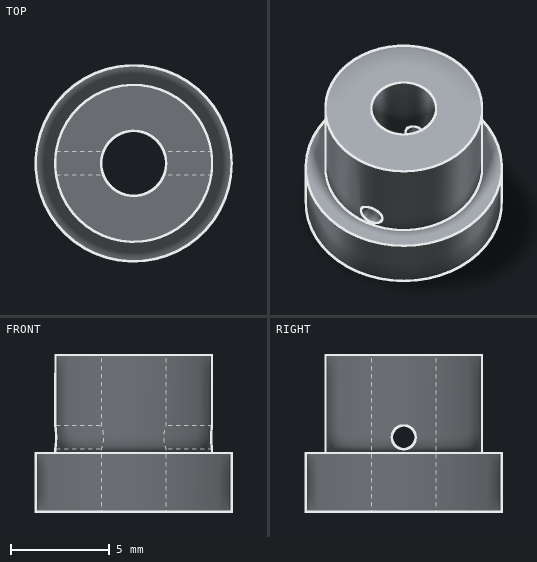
import cadquery as cq

flange_diameter = 10
flange_height = 3
hub_diameter = 8
hub_height = 5
bore_diameter = 3.3
pin_hole_diameter = 1.2
pin_hole_above_flange = 0.8

total_height = flange_height + hub_height
pin_hole_z = flange_height + pin_hole_above_flange

flange = cq.Workplane("XY").circle(flange_diameter / 2).extrude(flange_height)
hub = cq.Workplane("XY").circle(hub_diameter / 2).extrude(total_height)

bore = cq.Workplane("XY").circle(bore_diameter / 2).extrude(total_height)

pin_hole = (
    cq.Workplane("YZ")
    .center(0, pin_hole_z)
    .circle(pin_hole_diameter / 2)
    .extrude(hub_diameter, both=True)
)

result = flange.union(hub).cut(bore).cut(pin_hole)